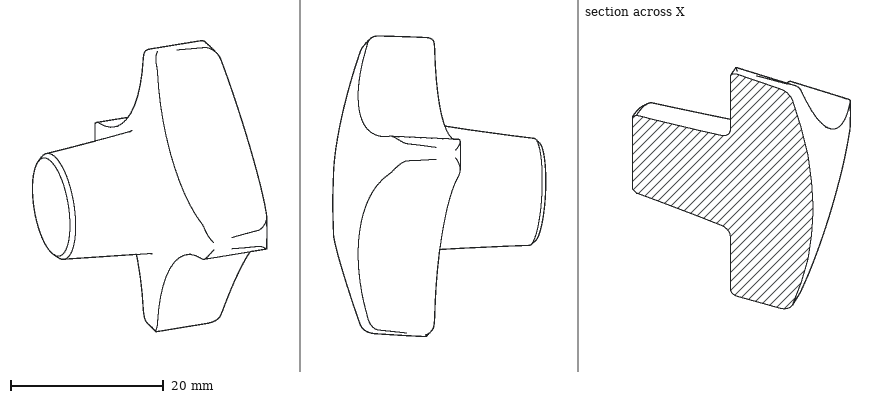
import cadquery as cq
import math


arm_count = 4
head_height = 11.98
dome_radius = 58.15
arm_tip_radius = 2.5
arm_tip_offset = 17.5
waist_radius = 10.65

flat_offset = 20.0
flat_draft = 2.2
top_edge_fillet = 2.0
bottom_edge_fillet = 1.0

stem_length = 14.0
stem_root_radius = 8.1
stem_end_radius = 7.03
neck_fillet_width = 1.48
neck_fillet_height = 1.4
end_chamfer_width = 0.5
end_chamfer_height = 0.6


def polar(radius, angle):
    return (radius * math.cos(angle), radius * math.sin(angle))


def make_star_prism():
    """Star outline: rounded arm tips joined by tangent hollow arcs."""
    half_pitch = math.pi / arm_count
    gap = waist_radius - arm_tip_radius
    hollow_offset = (arm_tip_offset**2 - gap**2) / (2 * (arm_tip_offset * math.cos(half_pitch) - gap))
    hollow_x, hollow_y = polar(hollow_offset, half_pitch)
    tangent_angle = math.atan2(hollow_y, hollow_x - arm_tip_offset)
    tangent_x = arm_tip_offset + arm_tip_radius * math.cos(tangent_angle)
    tangent_y = arm_tip_radius * math.sin(tangent_angle)
    tangent_radius = math.hypot(tangent_x, tangent_y)
    tangent_turn = math.atan2(tangent_y, tangent_x)

    outline = cq.Workplane("XZ").moveTo(*polar(tangent_radius, -tangent_turn))
    for arm in range(arm_count):
        angle = 2 * half_pitch * arm
        outline = outline.threePointArc(
            polar(arm_tip_offset + arm_tip_radius, angle),
            polar(tangent_radius, angle + tangent_turn),
        ).threePointArc(
            polar(waist_radius, angle + half_pitch),
            polar(tangent_radius, angle + 2 * half_pitch - tangent_turn),
        )
    return outline.close().extrude(-head_height)


def make_domed_block():
    """Drafted square block under a spherical dome, with its outer edges rounded."""
    block = cq.Workplane("XZ").rect(2 * flat_offset, 2 * flat_offset).extrude(-head_height, taper=flat_draft)
    dome = cq.Workplane("XY").sphere(dome_radius).translate((0, head_height - dome_radius, 0))
    block = block.intersect(dome)
    block = block.faces("<Y").edges().fillet(bottom_edge_fillet)
    return block.faces(">Y").edges().fillet(top_edge_fillet)


def make_stem():
    """Tapered stem with a rounded neck under the head and a chamfered end."""
    neck_radius = stem_root_radius + neck_fillet_width
    inset = 1 - math.sin(math.radians(45))
    neck_middle = (stem_root_radius + neck_fillet_width * inset, -neck_fillet_height * inset)
    return (
        cq.Workplane("XY")
        .lineTo(neck_radius, 0)
        .threePointArc(neck_middle, (stem_root_radius, -neck_fillet_height))
        .lineTo(stem_end_radius, end_chamfer_height - stem_length)
        .lineTo(stem_end_radius - end_chamfer_width, -stem_length)
        .lineTo(0, -stem_length)
        .close()
        .revolve(360, (0, 0, 0), (0, 1, 0))
    )


head = make_star_prism().intersect(make_domed_block())
result = head.union(make_stem())